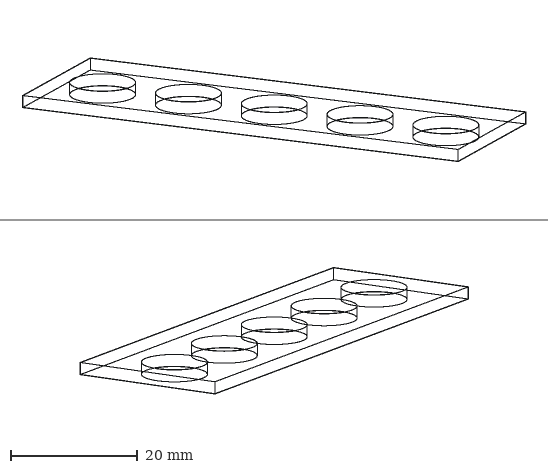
import cadquery as cq

length = 76.0
width = 25.0
thickness = 2.0

hole_count = 5
hole_diameter = 10.4
hole_pitch = 15.0

plate = cq.Workplane("XY").box(length, width, thickness)

result = (
    plate.faces(">Z")
    .workplane()
    .rarray(hole_pitch, width, hole_count, 1)
    .hole(hole_diameter)
)